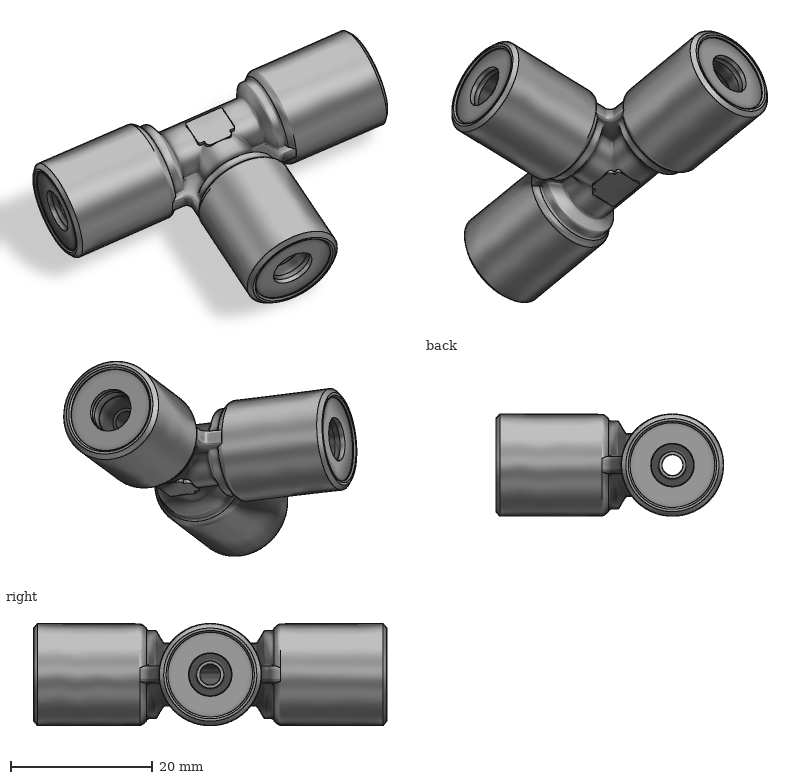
import cadquery as cq
socket_reach = 25.0
socket_radius = 7.25
socket_inner_radius = 7.2
pipe_radius = 4.45

neck_radius = 6.25
cone_start = 6.6
cone_end = 7.65
socket_start = 9.05
cone_root_fillet = 0.4
neck_edge_fillet = 0.4
ring_fillets = (
    (cone_start, cone_root_fillet),
    (cone_end, neck_edge_fillet),
)
neck_root_fillet = 0.35
shoulder_radius = 6.95
shoulder_start = 9.45
shoulder_end = 9.95

rim_radius = 6.6
rim_chamfer_length = 0.55
recess_radius = 6.0
recess_depth = 0.4
recess_chamfer = 0.25

tube_bore_radius = 3.075
groove_start = 0.75
groove_end = 1.5
groove_depth = 0.15
seat_depth = 3.25
seat_radius = 3.0
bore_floor = 11.0

nozzle_foot_radius = 2.2
nozzle_root_radius = 2.0
nozzle_tip_radius = 1.925
nozzle_tip = 19.0
passage_radius = 1.475

web_thickness = 2.4
web_corner_radius = 1.0
web_edge_fillet = 0.6

pad_height = 4.5
pad_length = 5.9
pad_half_width = 2.05
pad_branch_end = 3.0
pad_corner_radius = 0.35
pad_branch_corner_radius = 0.65

corner_fillet = 0.35
corner_reach = 5.5

RUN_FRONT = (0, -1, 0)
RUN_BACK = (0, 1, 0)
BRANCH = (1, 0, 0)
PORT_DIRECTIONS = (RUN_FRONT, RUN_BACK, BRANCH)


def port_plane(direction):
    """Plane at the origin whose local Y axis runs along the port and whose local X is vertical."""
    normal = cq.Vector(0, 0, 1).cross(cq.Vector(*direction))
    return cq.Plane(origin=(0, 0, 0), xDir=(0, 0, 1), normal=normal.toTuple())


def revolve_about_port(profile):
    return profile.close().revolve(360, (0, 0, 0), (0, 1, 0))


def ring_at(direction, distance):
    """Selector of the circular edges that cross the port axis at one distance."""
    x, y, z = (cq.Vector(*direction) * distance).toTuple()
    margin = 0.005
    return cq.selectors.BoxSelector(
        (x - margin, y - margin, z - margin), (x + margin, y + margin, z + margin)
    )


def socket(direction):
    """One arm of the tee: pipe, cone, neck and socket, with the recess around its mouth."""
    floor = socket_reach - recess_depth
    arm = revolve_about_port(
        cq.Workplane(port_plane(direction))
        .lineTo(pipe_radius, 0)
        .lineTo(pipe_radius, cone_start)
        .lineTo(neck_radius, cone_end)
        .lineTo(neck_radius, socket_start)
        .lineTo(neck_radius + neck_root_fillet, socket_start)
        .lineTo(shoulder_radius, shoulder_start)
        .tangentArcPoint((socket_inner_radius, shoulder_end), relative=False)
        .lineTo(socket_radius, socket_reach - rim_chamfer_length)
        .lineTo(rim_radius, socket_reach)
        .lineTo(recess_radius + recess_chamfer, socket_reach)
        .lineTo(recess_radius, socket_reach - recess_chamfer)
        .lineTo(recess_radius, floor)
        .lineTo(0, floor)
    )
    for distance, fillet in ring_fillets:
        arm = arm.edges(ring_at(direction, distance)).fillet(fillet)
    return arm


def neck_root(direction):
    """Ring that fills the inside corner between neck and shoulder with a concave round."""
    core_radius = neck_radius - neck_root_fillet
    return revolve_about_port(
        cq.Workplane(port_plane(direction))
        .moveTo(core_radius, socket_start - neck_root_fillet)
        .lineTo(neck_radius, socket_start - neck_root_fillet)
        .radiusArc((neck_radius + neck_root_fillet, socket_start), neck_root_fillet)
        .lineTo(core_radius, socket_start)
    )


def port_bore(direction):
    """Space inside one arm: stepped tube bore around the nozzle, and the inner passage."""
    mouth = socket_reach - recess_depth
    seat = mouth - seat_depth
    groove_middle = mouth - (groove_start + groove_end) / 2
    foot_height = nozzle_foot_radius - nozzle_root_radius
    return revolve_about_port(
        cq.Workplane(port_plane(direction))
        .lineTo(passage_radius, 0)
        .lineTo(passage_radius, nozzle_tip)
        .lineTo(nozzle_tip_radius, nozzle_tip)
        .lineTo(nozzle_root_radius, bore_floor + foot_height)
        .radiusArc((nozzle_foot_radius, bore_floor), -foot_height)
        .lineTo(seat_radius, bore_floor)
        .lineTo(seat_radius, seat)
        .lineTo(tube_bore_radius, seat)
        .lineTo(tube_bore_radius, mouth - groove_end)
        .threePointArc(
            (tube_bore_radius + groove_depth, groove_middle),
            (tube_bore_radius, mouth - groove_start),
        )
        .lineTo(tube_bore_radius, mouth)
        .lineTo(0, mouth)
    )


def web(side):
    """Flat web in the tee corner at +Y (side 1) or -Y (side -1), with a rounded outer rim."""
    reach = shoulder_end
    arc_start = socket_radius + web_corner_radius
    plate = (
        cq.Workplane("XY")
        .workplane(offset=-web_thickness / 2)
        .lineTo(0, side * reach)
        .lineTo(socket_radius, side * reach)
        .lineTo(socket_radius, side * arc_start)
        .radiusArc((arc_start, side * socket_radius), -side * web_corner_radius)
        .lineTo(reach, side * socket_radius)
        .lineTo(reach, 0)
        .close()
        .extrude(web_thickness)
    )
    rim_margin = 0.5
    rim_edges = cq.selectors.BoxSelector(
        (neck_radius, side * neck_radius, -web_thickness),
        (reach - rim_margin, side * (reach - rim_margin), web_thickness),
    )
    return plate.edges("not |Z").edges(rim_edges).fillet(web_edge_fillet)


def marking_pad():
    """T-shaped pad that stands slightly proud of both pipes, above and below."""
    run_part = (
        cq.Workplane("XY").box(2 * pad_half_width, pad_length, 2 * pad_height)
        .edges("|Z").fillet(pad_corner_radius)
    )
    branch_part = (
        cq.Workplane("XY").box(
            pad_branch_end, 2 * pad_half_width, 2 * pad_height, centered=(False, True, True)
        )
        .edges("|Z and >X").fillet(pad_branch_corner_radius)
    )
    return run_part.union(branch_part)


def blend_corner(tee, side):
    """Fillet the run-to-branch seam together with the web roots on both pipes, above and below."""
    corner_edges = cq.selectors.BoxSelector(
        (pad_branch_end, side * pad_branch_end, -pipe_radius),
        (corner_reach, side * corner_reach, pipe_radius),
    )
    return tee.edges(corner_edges).fillet(corner_fillet)


tee = socket(RUN_FRONT).union(socket(RUN_BACK)).union(socket(BRANCH))
for side in (1, -1):
    tee = tee.union(web(side))
tee = tee.union(marking_pad())
for side in (1, -1):
    tee = blend_corner(tee, side)
for direction in PORT_DIRECTIONS:
    tee = tee.union(neck_root(direction)).cut(port_bore(direction))

result = tee